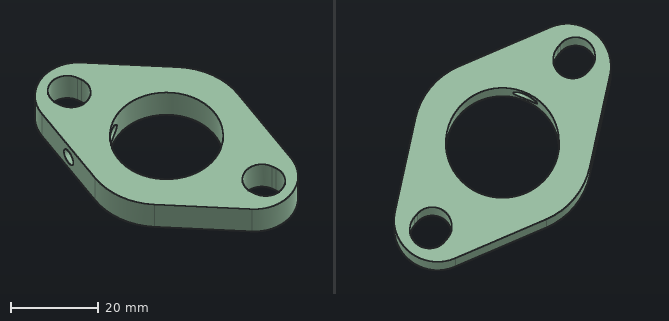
import cadquery as cq
import math

length = 61.9
width = 41.25
thickness = 8.0

slant_angle = 54.2
end_radius = 10.0
side_radius = 17.35

bore_diameter = 26.0
bolt_x = 23.15
bolt_y = 11.75
bolt_hole_diameter = 9.0
bolt_hole_stretch = 1.0
cross_hole_diameter = 4.0
cross_hole_x = -9.4


def make_plate():
    """Parallelogram plate whose end arcs touch X = +/- length / 2."""
    half_width = width / 2
    corner_offset = end_radius / math.tan(math.radians(slant_angle / 2))
    long_x = length / 2 - end_radius + corner_offset
    short_x = long_x - width / math.tan(math.radians(slant_angle))
    acute_corners = [(long_x, half_width), (-long_x, -half_width)]
    obtuse_corners = [(-short_x, half_width), (short_x, -half_width)]
    plate = (
        cq.Workplane("XY")
        .polyline([acute_corners[0], obtuse_corners[0], acute_corners[1], obtuse_corners[1]])
        .close()
        .extrude(thickness)
    )
    for corners, radius in ((acute_corners, end_radius), (obtuse_corners, side_radius)):
        for x, y in corners:
            edge = cq.selectors.NearestToPointSelector((x, y, thickness / 2))
            plate = plate.edges("|Z").edges(edge).fillet(radius)
    return plate


def make_bolt_holes():
    """Slightly oblong holes, stretched along the line through both bolts."""
    bolt_angle = math.degrees(math.atan2(bolt_y, bolt_x))
    return (
        cq.Workplane("XY")
        .pushPoints([(bolt_x, bolt_y), (-bolt_x, -bolt_y)])
        .slot2D(bolt_hole_diameter + bolt_hole_stretch, bolt_hole_diameter, bolt_angle)
        .extrude(thickness)
    )


def make_cross_hole():
    """Round hole from the -Y edge, opening into the bore."""
    return (
        cq.Workplane("XZ", origin=(cross_hole_x, 0, thickness / 2))
        .circle(cross_hole_diameter / 2)
        .extrude(width / 2)
    )


bore = cq.Workplane("XY").circle(bore_diameter / 2).extrude(thickness)

result = make_plate().cut(bore).cut(make_bolt_holes()).cut(make_cross_hole())